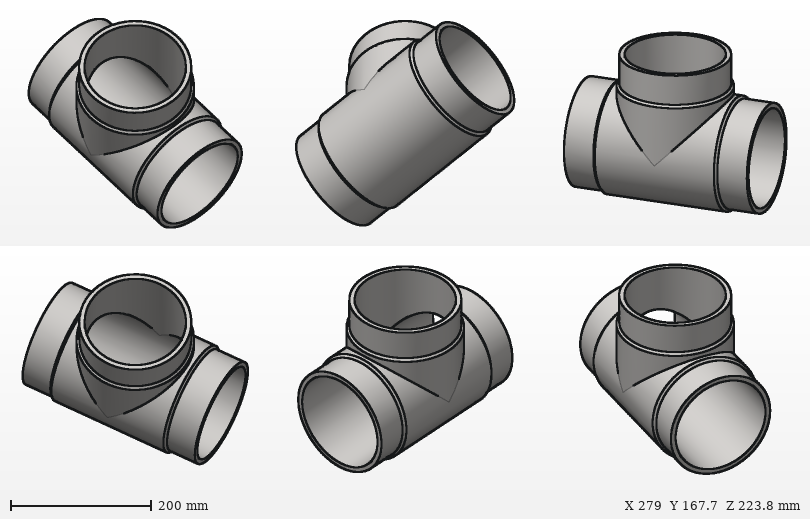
import cadquery as cq

run_length = 279.0
branch_height = 140.0
body_diameter = 167.7
spigot_diameter = 160.0
bore_diameter = 144.5
spigot_length = 45.0

bevel = (body_diameter - spigot_diameter) / 2


def cylinder(plane, diameter, length):
    """Cylinder starting at the origin along the normal of the plane."""
    return cq.Workplane(plane).circle(diameter / 2).extrude(length)


def outer_arm(plane, length):
    """Half pipe arm from the tee centre: bevelled body with a spigot."""
    body = cylinder(plane, body_diameter, length - spigot_length)
    body = body.faces(cq.selectors.DirectionMinMaxSelector(body.plane.zDir, True)).chamfer(bevel)
    return body.union(cylinder(plane, spigot_diameter, length))


def run_outer():
    """Straight run along X, symmetric about the tee centre."""
    arm = outer_arm("YZ", run_length / 2)
    return arm.union(arm.mirror("YZ"))


def bores():
    """Through bore of the run joined by the bore of the branch."""
    run_bore = cq.Workplane("YZ").circle(bore_diameter / 2).extrude(run_length / 2, both=True)
    return run_bore.union(cylinder("XY", bore_diameter, branch_height))


result = run_outer().union(outer_arm("XY", branch_height)).cut(bores())